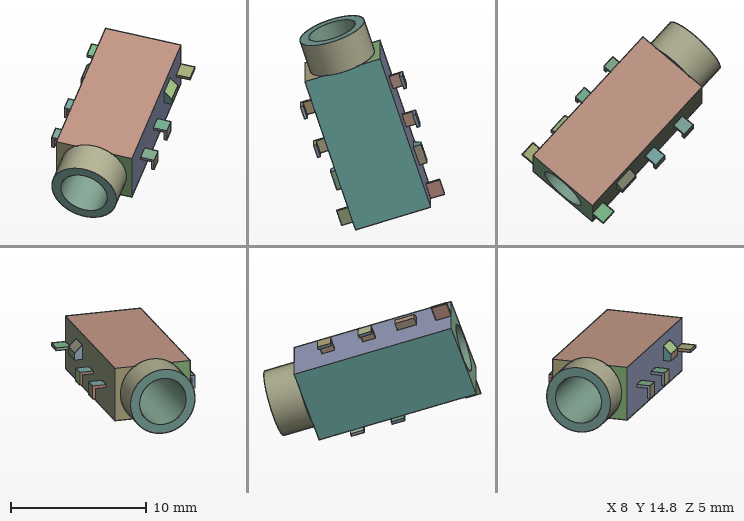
import cadquery as cq

TOTAL_LENGTH = 14.75
BARREL_LENGTH = 2.51
BARREL_DIAMETER = 5.0
BORE_DIAMETER = 3.6
BLOCK_WIDTH = 5.84
BLOCK_HEIGHT = 4.12
BLOCK_LENGTH = TOTAL_LENGTH - BARREL_LENGTH
REAR_Y = TOTAL_LENGTH / 2
WALL_X = BLOCK_WIDTH / 2

SHEET_THICKNESS = 0.22
TERMINAL_TOP_Z = 0.06
FLAT_SPAN = 8.0
FLAT_LENGTH = 1.2
BENT_SPAN = 7.94
BENT_LENGTH = 1.0
BENT_HEIGHT = 1.0
BENT_SETBACKS = (5.9, 9.07)

LUG_SPAN = 7.02
LUG_LENGTH = 1.5
LUG_SETBACK = 2.68
LUG_BOTTOM_Z = TERMINAL_TOP_Z
LUG_TOP_Z = 1.2
LUG_TIP_X = LUG_SPAN / 2
LUG_BEVEL = LUG_TIP_X - WALL_X

SIDES = (-1, 1)


def extrude_along_y(points, side, setback, length):
    """Extrude an X-Z outline toward -Y, starting at a setback from the rear face.

    The outline is given for the +X side; side -1 places it on the -X side.
    """
    placed_points = [(side * x, z) for x, z in points]
    start = cq.Workplane("XZ", origin=(0, REAR_Y - setback, 0))
    return start.polyline(placed_points).close().extrude(length)


def make_lug(side):
    outline = [
        (WALL_X, LUG_BOTTOM_Z),
        (LUG_TIP_X, LUG_BOTTOM_Z),
        (LUG_TIP_X, LUG_TOP_Z - LUG_BEVEL),
        (WALL_X, LUG_TOP_Z),
    ]
    return extrude_along_y(outline, side, LUG_SETBACK, LUG_LENGTH)


def make_housing():
    rear_face = cq.Workplane("XZ", origin=(0, REAR_Y, 0))
    barrel_start = cq.Workplane("XZ", origin=(0, REAR_Y - BLOCK_LENGTH, 0))
    body = rear_face.rect(BLOCK_WIDTH, BLOCK_HEIGHT).extrude(BLOCK_LENGTH)
    body = body.union(barrel_start.circle(BARREL_DIAMETER / 2).extrude(BARREL_LENGTH))
    for side in SIDES:
        body = body.union(make_lug(side))
    bore = rear_face.circle(BORE_DIAMETER / 2).extrude(TOTAL_LENGTH)
    return body.cut(bore)


def make_flat_terminal(side):
    tip_x = FLAT_SPAN / 2
    underside_z = TERMINAL_TOP_Z - SHEET_THICKNESS
    outline = [
        (WALL_X, underside_z),
        (tip_x, underside_z),
        (tip_x, TERMINAL_TOP_Z),
        (WALL_X, TERMINAL_TOP_Z),
    ]
    return extrude_along_y(outline, side, 0, FLAT_LENGTH)


def make_bent_terminal(side, setback):
    outer_x = BENT_SPAN / 2
    inner_x = outer_x - SHEET_THICKNESS
    underside_z = TERMINAL_TOP_Z - SHEET_THICKNESS
    foot_z = TERMINAL_TOP_Z - BENT_HEIGHT
    outline = [
        (WALL_X, TERMINAL_TOP_Z),
        (outer_x, TERMINAL_TOP_Z),
        (outer_x, foot_z),
        (inner_x, foot_z),
        (inner_x, underside_z),
        (WALL_X, underside_z),
    ]
    return extrude_along_y(outline, side, setback, BENT_LENGTH)


housing = make_housing()
flat_terminals = [make_flat_terminal(side) for side in SIDES]
bent_terminals = [
    make_bent_terminal(side, setback) for side in SIDES for setback in BENT_SETBACKS
]

result = cq.Compound.makeCompound(
    [housing.solids().val()]
    + [terminal.val() for terminal in flat_terminals]
    + [terminal.val() for terminal in bent_terminals]
)